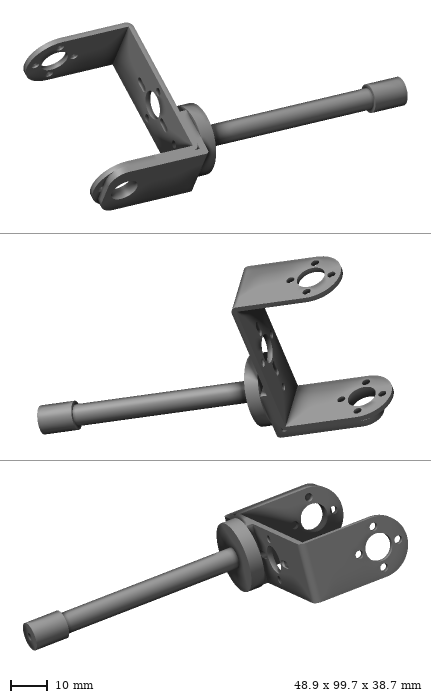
import cadquery as cq

tilt_angle = 30.73
sheet_thickness = 1.5
bracket_width = 44.5
arm_width = 17.4
arm_tip_radius = arm_width / 2
web_back = 22.0
bend_outer_radius = 2.0

center_hole_diameter = 8.0
small_hole_diameter = 2.3
small_hole_offset = 6.0
slot_offset = 7.1
slot_width = 2.2
slot_length = 4.5

angle_thickness = 2.0
angle_base_length = 15.0
angle_leg_length = 30.0
angle_tip_radius = 5.0
angle_corner_radius = 1.0

tube_inset = 10.5
flange_diameter = 20.0
flange_thickness = 4.0
tube_diameter = 6.0
tube_length = 53.0
cap_diameter = 8.0
cap_length = 10.0
bore_diameter = 2.2

half_bracket = bracket_width / 2
web_front = web_back - sheet_thickness
angle_outer_face = half_bracket + angle_thickness
angle_back = web_back + angle_thickness
flange_back = angle_back + flange_thickness
tube_end = flange_back + tube_length
cap_end = tube_end + cap_length
tube_x = angle_outer_face - tube_inset


def box_between(x_range, y_range, width):
    """Box spanning the given X and Y ranges, centred on Z = 0."""
    center = (sum(x_range) / 2, sum(y_range) / 2, 0)
    x_size = x_range[1] - x_range[0]
    y_size = y_range[1] - y_range[0]
    return cq.Workplane("XY", origin=center).box(x_size, y_size, width)


def cylinder_along_x(diameter, x_range, y, z):
    """Cylinder parallel to X."""
    return (
        cq.Workplane("YZ", origin=(x_range[0], y, z))
        .circle(diameter / 2)
        .extrude(x_range[1] - x_range[0])
    )


def cylinder_along_y(diameter, y_range, x, z=0):
    """Cylinder parallel to Y."""
    return (
        cq.Workplane("XZ", origin=(x, y_range[0], z))
        .circle(diameter / 2)
        .extrude(y_range[0] - y_range[1])
    )


def make_bracket():
    """U-shaped sheet with bent corners and full-round arm tips."""
    outer = box_between((-half_bracket, half_bracket), (-arm_tip_radius, web_back), arm_width)
    outer = outer.edges("|Z and >Y").fillet(bend_outer_radius)
    inner_half = half_bracket - sheet_thickness
    gap = box_between((-inner_half, inner_half), (-arm_tip_radius, web_front), arm_width)
    x_span = (-half_bracket, half_bracket)
    straight_part = box_between(x_span, (0, web_back), arm_width)
    round_tips = cylinder_along_x(arm_width, x_span, 0, 0)
    bracket = outer.cut(gap).intersect(straight_part.union(round_tips))
    return bracket.cut(make_arm_small_holes()).cut(make_web_holes())


def make_arm_small_holes():
    """Four small holes around the pivot, through both sheet arms."""
    x_span = (-half_bracket, half_bracket)
    holes = cq.Workplane("XY")
    for side in (-1, 1):
        offset = side * small_hole_offset
        holes.add(cylinder_along_x(small_hole_diameter, x_span, offset, 0))
        holes.add(cylinder_along_x(small_hole_diameter, x_span, 0, offset))
    return holes.combine()


def make_web_holes():
    """Central hole, two small holes and two slots through the web."""
    y_span = (web_front, web_back)
    holes = cylinder_along_y(center_hole_diameter, y_span, 0)
    for side in (-1, 1):
        holes = holes.union(cylinder_along_y(small_hole_diameter, y_span, 0, side * small_hole_offset))
        slot = (
            cq.Workplane("XZ", origin=(side * slot_offset, web_front, 0))
            .slot2D(slot_length, slot_width)
            .extrude(-sheet_thickness)
        )
        holes = holes.union(slot)
    return holes


def make_angle():
    """L-shaped angle: base behind the web, leg outside the right-hand arm."""
    base_x_span = (angle_outer_face - angle_base_length, angle_outer_face)
    leg_y_span = (angle_back - angle_leg_length, angle_back)
    base = box_between(base_x_span, (web_back, angle_back), arm_width)
    leg = box_between((half_bracket, angle_outer_face), leg_y_span, arm_width)
    leg = leg.edges("|X and <Y").fillet(angle_tip_radius)
    angle = base.union(leg)
    return angle.edges("|Z and >X and >Y").fillet(angle_corner_radius)


def make_flanged_tube():
    """Round flange, long tube and end cap on one axis."""
    flange = cylinder_along_y(flange_diameter, (angle_back, flange_back), tube_x)
    tube = cylinder_along_y(tube_diameter, (flange_back, tube_end), tube_x)
    cap = cylinder_along_y(cap_diameter, (tube_end, cap_end), tube_x)
    return flange.union(tube).union(cap)


pivot_bore = cylinder_along_x(center_hole_diameter, (-half_bracket, angle_outer_face), 0, 0)
tube_bore = cylinder_along_y(bore_diameter, (web_front, cap_end), tube_x)

part = make_bracket().union(make_angle()).union(make_flanged_tube())
part = part.cut(pivot_bore).cut(tube_bore)

result = part.rotate((0, 0, 0), (0, 1, 0), tilt_angle)